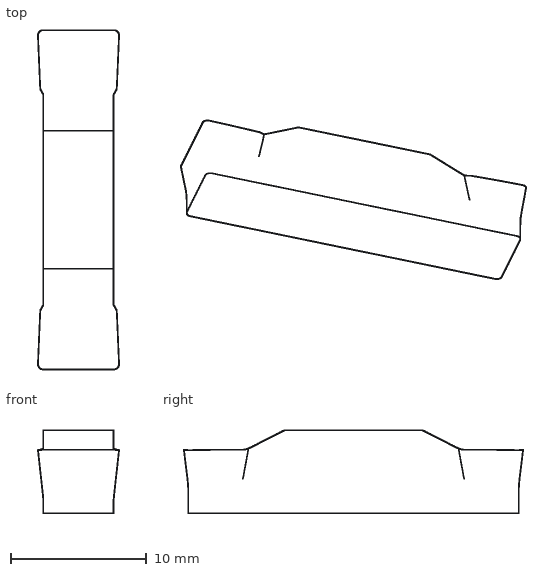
import cadquery as cq
import math


length = 25.04
height = 6.14
tip_width = 6.04
body_width = 5.2
tip = length / 2

front_clearance = math.radians(7)
incline_bottom = 2.34
front_blend_radius = 4.3

seat_height = 4.7
edge_groove_length = 0.38
edge_groove_depth = 0.03
groove_mid_fraction = 0.7
floor_crest = 9.88
floor_end = 8.89
blend_start = 8.28
ramp_angle = math.radians(27)
ramp_blend_radius = 1.5

side_clearance = math.radians(6)
side_taper = math.radians(2.5)
head_back = 8.16
shoulder_angle = math.radians(30)
shoulder_fillet = 0.2
corner_radius = 0.4

cutter_margin = 1.0
edge_search = 0.05
front_search = 0.35
steep_limit = 0.9


def build_prism(width):
    """Extrude the side profile of the +Y half, centred on X, to the given width."""
    incline_bottom_y = tip - (seat_height - incline_bottom) * math.tan(front_clearance)
    half_clearance = front_clearance / 2
    front_y = incline_bottom_y - front_blend_radius * (1 - math.cos(front_clearance))
    front_top = incline_bottom - front_blend_radius * math.sin(front_clearance)
    front_mid_y = front_y + front_blend_radius * (1 - math.cos(half_clearance))
    front_mid_z = front_top + front_blend_radius * math.sin(half_clearance)

    groove_end = tip - edge_groove_length
    groove_end_z = seat_height - edge_groove_depth
    groove_mid = tip - edge_groove_length / 2
    groove_mid_z = seat_height - groove_mid_fraction * edge_groove_depth

    half_ramp = ramp_angle / 2
    blend_mid_y = blend_start - ramp_blend_radius * math.sin(half_ramp)
    blend_mid_z = seat_height + ramp_blend_radius * (1 - math.cos(half_ramp))
    blend_end_y = blend_start - ramp_blend_radius * math.sin(ramp_angle)
    blend_end_z = seat_height + ramp_blend_radius * (1 - math.cos(ramp_angle))
    ramp_top_y = blend_end_y - (height - blend_end_z) / math.tan(ramp_angle)

    return (
        cq.Workplane("YZ")
        .moveTo(0, 0)
        .lineTo(front_y, 0)
        .lineTo(front_y, front_top)
        .threePointArc((front_mid_y, front_mid_z), (incline_bottom_y, incline_bottom))
        .lineTo(tip, seat_height)
        .threePointArc((groove_mid, groove_mid_z), (groove_end, groove_end_z))
        .threePointArc((floor_crest, seat_height), (floor_end, seat_height))
        .lineTo(blend_start, seat_height)
        .threePointArc((blend_mid_y, blend_mid_z), (blend_end_y, blend_end_z))
        .lineTo(ramp_top_y, height)
        .lineTo(0, height)
        .close()
        .extrude(width / 2, both=True)
    )


def build_side_cutter():
    """Waste outside the +X side of a head: tapering flank, then shoulder running in to the centre plane.

    The outline is swept along a leaning line, which gives every face the side clearance.
    """
    base_inset = seat_height * math.tan(side_clearance)
    tip_x = tip_width / 2 - base_inset
    back_x = tip_x - (tip - head_back) * math.tan(side_taper)
    front_x = tip_x + cutter_margin * math.tan(side_taper)
    shoulder_end_y = head_back - back_x / math.tan(shoulder_angle)
    outline = cq.Wire.makePolygon(
        [
            cq.Vector(front_x, tip + cutter_margin, 0),
            cq.Vector(back_x, head_back, 0),
            cq.Vector(0, shoulder_end_y, 0),
            cq.Vector(0, -cutter_margin, 0),
            cq.Vector(tip_width, -cutter_margin, 0),
            cq.Vector(tip_width, tip + cutter_margin, 0),
        ],
        close=True,
    )
    lean = cq.Vector(height * math.tan(side_clearance), 0, height)
    return cq.Workplane(cq.Solid.extrudeLinear(outline, [], lean))


def round_uprights(solid, y_start, y_end, radius):
    """Fillet the steep edges that have their middle between the two given Y positions."""

    def is_steep(edge):
        return abs(edge.tangentAt(0.5).z) > steep_limit

    def is_in_range(edge):
        return y_start < edge.Center().y < y_end

    return solid.edges().filter(is_steep).filter(is_in_range).fillet(radius)


def round_front_corners(solid):
    """Round the edges where the flanks meet the front clearance face."""
    return round_uprights(solid, tip - front_search, tip, corner_radius)


def build_body_half():
    """Parallel-sided body on the +Y side, with rounded front corners."""
    return round_front_corners(build_prism(body_width))


def build_head():
    """Flared head at the +Y end, its shoulders running back inside the body."""
    cutter = build_side_cutter()
    head = build_prism(2 * tip_width).cut(cutter).cut(cutter.mirror("YZ"))
    head = round_uprights(head, head_back - edge_search, head_back + edge_search, shoulder_fillet)
    return round_front_corners(head)


half = build_body_half().union(build_head()).clean()
result = half.union(half.mirror("XZ")).clean()